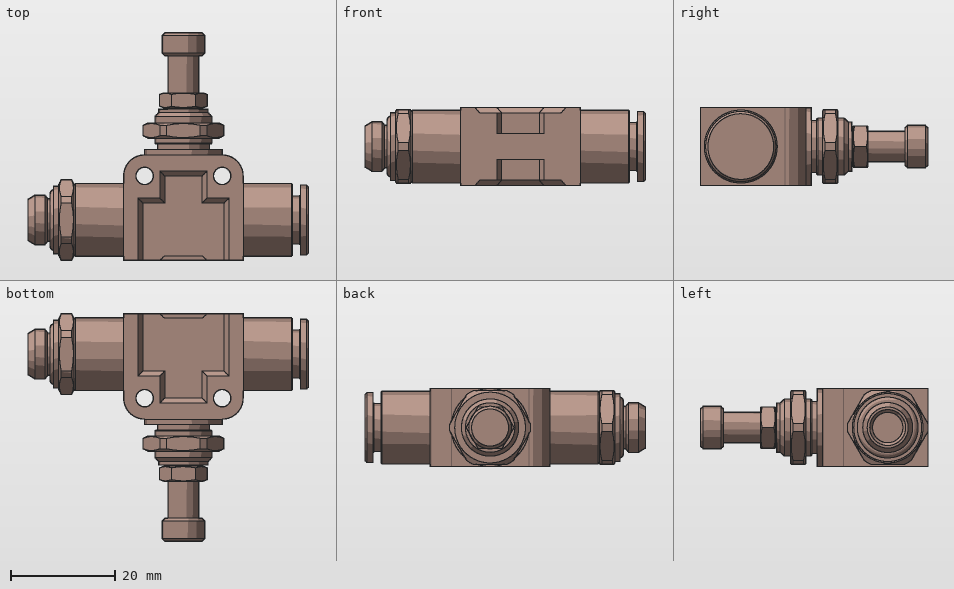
import cadquery as cq
import math


overall_length = 54.0

body_width = 23.0
body_thickness = 15.0
body_front = -7.8
body_back = 12.55
corner_radius = 4.05
hole_diameter = 3.3
hole_x = body_width / 2 - corner_radius
hole_y = body_back - corner_radius

recess_depth = 1.1
recess_taper = 0.95
recess_wide_half = 8.75
recess_wide_back = 4.2
recess_narrow_half = 4.55
recess_narrow_back = 9.4

notch_half_width = 4.55
notch_depth = 0.85
notch_start_z = 2.55

socket_radius = 7.0
socket_end = 21.0
socket_chamfer = 0.25

ring_neck_radius = 4.65
ring_radius = 6.75
ring_start = 22.45
ring_flare = 0.15
ring_end = 24.1
ring_chamfer = 0.45

end_circle_inset = 0.25
nut_flats = 14.15
nut_corner_radius = 7.8
nut_length = 2.95
nut_chamfer = 0.5
lock_flats = 8.0
lock_corner_radius = lock_flats / math.sqrt(3)
lock_chamfer = 0.3

nipple_nut_end = -socket_end - nut_length
collar_radius = 6.55
collar_end = -25.0
seal_outer_radius = 5.9
seal_front = -25.65
nipple_neck_radius = 4.1
seal_section_radius = (seal_outer_radius - nipple_neck_radius) / 2
nipple_radius = 4.8
nipple_back = -26.6
nipple_front = -28.5
nipple_tip = ring_end - overall_length
nipple_tip_radius = 3.95
nipple_chamfer = 0.55
bore_radius = 2.9
bore_chamfer = 0.55
bore_depth = 16.2

washer_end = 13.55
washer_radius = body_thickness / 2
undercut_radius = 5.0
thread_radius = 5.5
thread_start = 14.6
thread_chamfer = 0.2
screw_nut_start = 15.7
thread_end = 19.85
cap_radius = 4.75
cap_start = 20.7
cap_end = 21.35
lock_start = 21.55
lock_end = 24.45
spindle_radius = 2.95
knob_start = 31.55
knob_end = 36.0
knob_radius = 4.1
knob_chamfer = 0.55


def turned_about_x(profile):
    """Solid of revolution about X from (x, radius) points; both ends lie on the axis."""
    return cq.Workplane("XY").polyline(profile).close().revolve(360, (0, 0, 0), (1, 0, 0))


def turned_about_y(profile):
    """Solid of revolution about Y from (radius, y) points; both ends lie on the axis."""
    return cq.Workplane("XY").polyline(profile).close().revolve(360, (0, 0, 0), (0, 1, 0))


def hexagon(flats, corner_radius, length, chamfer):
    """Hexagon along Z from the origin, corners on X, cut by a cylinder chamfered at both ends."""
    prism = cq.Workplane("XY").polygon(6, flats * 2 / math.sqrt(3)).extrude(length)
    end_radius = flats / 2 - end_circle_inset
    envelope = (
        cq.Workplane("XZ")
        .polyline([
            (0, 0),
            (end_radius, 0),
            (corner_radius, chamfer),
            (corner_radius, length - chamfer),
            (end_radius, length),
            (0, length),
        ])
        .close()
        .revolve(360, (0, 0, 0), (0, 1, 0))
    )
    return prism.intersect(envelope)


def hexagon_along_x(start, *sizes):
    """Hexagon along +X with corners on Y."""
    upright = hexagon(*sizes).rotate((0, 0, 0), (0, 0, 1), 90)
    lying = upright.rotate((0, 0, 0), (0, 1, 0), 90)
    return lying.translate((start, 0, 0))


def hexagon_along_y(start, *sizes):
    """Hexagon along +Y with corners on X."""
    return hexagon(*sizes).rotate((0, 0, 0), (1, 0, 0), -90).translate((0, start, 0))


def tapered_pocket(half_width, back):
    """Recess in the upper face, open to the front, with sloping sides and back."""
    half_floor = half_width - recess_taper
    floor_back = back - recess_taper
    front = body_front - recess_taper
    top = body_thickness / 2
    return (
        cq.Workplane("XY", origin=(0, 0, top))
        .moveTo(-half_width, front)
        .lineTo(half_width, front)
        .lineTo(half_width, back)
        .lineTo(-half_width, back)
        .close()
        .workplane(offset=-recess_depth)
        .moveTo(-half_floor, front)
        .lineTo(half_floor, front)
        .lineTo(half_floor, floor_back)
        .lineTo(-half_floor, floor_back)
        .close()
        .loft(ruled=True)
    )


def front_notch():
    """Recess in the front face with sloping sides, running up into the upper recess."""
    half_floor = notch_half_width - notch_depth
    return (
        cq.Workplane("XY", origin=(0, 0, notch_start_z))
        .moveTo(-notch_half_width, body_front)
        .lineTo(notch_half_width, body_front)
        .lineTo(half_floor, body_front + notch_depth)
        .lineTo(-half_floor, body_front + notch_depth)
        .close()
        .extrude(body_thickness / 2 - notch_start_z)
    )


def make_body():
    body = (
        cq.Workplane("XY")
        .box(body_width, body_back - body_front, body_thickness)
        .translate((0, (body_back + body_front) / 2, 0))
        .edges("|Z and >Y")
        .fillet(corner_radius)
    )
    holes = (
        cq.Workplane("XY", origin=(0, 0, -body_thickness / 2))
        .pushPoints([(-hole_x, hole_y), (hole_x, hole_y)])
        .circle(hole_diameter / 2)
        .extrude(body_thickness)
    )
    recess = (
        tapered_pocket(recess_wide_half, recess_wide_back)
        .union(tapered_pocket(recess_narrow_half, recess_narrow_back))
        .union(front_notch())
    )
    return body.cut(holes).cut(recess).cut(recess.mirror("XY"))


def make_right_socket():
    return turned_about_x([
        (body_width / 2, 0),
        (body_width / 2, socket_radius),
        (socket_end - socket_chamfer, socket_radius),
        (socket_end, socket_radius - socket_chamfer),
        (socket_end, ring_neck_radius),
        (ring_start - ring_flare, ring_neck_radius),
        (ring_start, ring_neck_radius + ring_flare),
        (ring_start, ring_radius),
        (ring_end - ring_chamfer, ring_radius),
        (ring_end, ring_radius - ring_chamfer),
        (ring_end, 0),
    ])


def make_left_nipple():
    socket = turned_about_x([
        (-body_width / 2, 0),
        (-body_width / 2, socket_radius),
        (socket_chamfer - socket_end, socket_radius),
        (-socket_end, socket_radius - socket_chamfer),
        (-socket_end, 0),
    ])
    nut = hexagon_along_x(nipple_nut_end, nut_flats, nut_corner_radius, nut_length, nut_chamfer)
    collar = turned_about_x([
        (-socket_end, 0),
        (-socket_end, collar_radius),
        (collar_end, collar_radius),
        (collar_end, nipple_neck_radius),
        (nipple_back + nipple_chamfer, nipple_neck_radius),
        (nipple_back, nipple_radius),
        (nipple_front, nipple_radius),
        (nipple_tip, nipple_tip_radius),
        (nipple_tip, 0),
    ])
    seal = (
        cq.Workplane("XY")
        .moveTo(seal_front + seal_section_radius, nipple_neck_radius + seal_section_radius)
        .circle(seal_section_radius)
        .revolve(360, (0, 0, 0), (1, 0, 0))
    )
    bore = turned_about_x([
        (nipple_tip, 0),
        (nipple_tip, bore_radius + bore_chamfer),
        (nipple_tip + bore_chamfer, bore_radius),
        (nipple_tip + bore_depth, bore_radius),
        (nipple_tip + bore_depth, 0),
    ])
    return socket.union(nut).union(collar).union(seal).cut(bore)


def make_screw():
    shaft = turned_about_y([
        (0, body_back),
        (washer_radius, body_back),
        (washer_radius, washer_end),
        (undercut_radius, washer_end),
        (undercut_radius, thread_start),
        (thread_radius - thread_chamfer, thread_start),
        (thread_radius, thread_start + thread_chamfer),
        (thread_radius, thread_end),
        (cap_radius, cap_start),
        (cap_radius, cap_end),
        (spindle_radius, cap_end),
        (spindle_radius, knob_start),
        (knob_radius - knob_chamfer, knob_start),
        (knob_radius, knob_start + knob_chamfer),
        (knob_radius, knob_end - knob_chamfer),
        (knob_radius - knob_chamfer, knob_end),
        (0, knob_end),
    ])
    nut = hexagon_along_y(screw_nut_start, nut_flats, nut_corner_radius, nut_length, nut_chamfer)
    lock_nut = hexagon_along_y(
        lock_start, lock_flats, lock_corner_radius, lock_end - lock_start, lock_chamfer
    )
    return shaft.union(nut).union(lock_nut)


result = make_body().union(make_right_socket()).union(make_left_nipple()).union(make_screw())